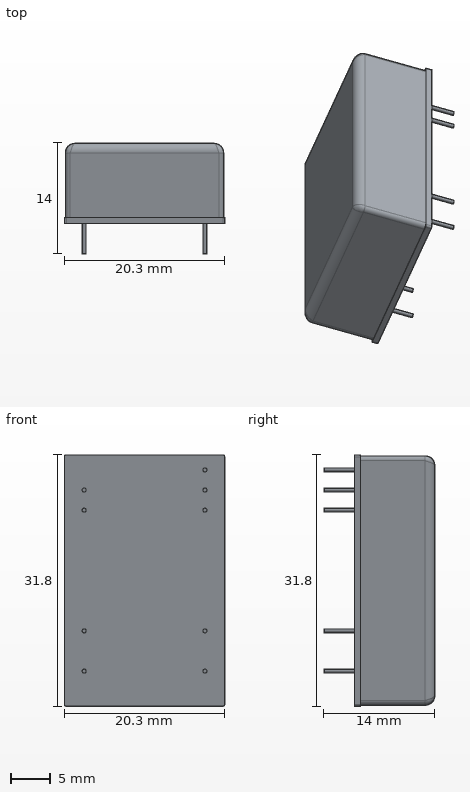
import cadquery as cq

plate_width = 20.3
plate_height = 31.8
plate_thickness = 0.75
plate_corner_radius = 0.25

total_depth = 14.0
pin_length = 3.82
case_inset = 0.13
case_corner_radius = 0.6
case_back_radius = 1.25

pin_diameter = 0.5
pin_pitch = 2.55
pin_column_x = 3 * pin_pitch
shared_pin_rows = [4.5, 3.5, -2.5, -4.5]
extra_pin_row = 5.5

plate_front_y = pin_length - total_depth / 2
plate_back_y = plate_front_y + plate_thickness
case_depth = total_depth - pin_length - plate_thickness


def upright_block(width, height, depth, front_y, corner_radius):
    """Block centred on X and Z, growing from front_y towards +Y, with its four long edges rounded."""
    block = (
        cq.Workplane("XZ", origin=(0, front_y, 0))
        .rect(width, height)
        .extrude(-depth)
    )
    return block.edges("|Y").fillet(corner_radius)


def pin(x, z):
    """Round pin running along -Y from the plate."""
    return (
        cq.Workplane("XZ", origin=(x, plate_front_y, z))
        .circle(pin_diameter / 2)
        .extrude(pin_length)
    )


plate = upright_block(plate_width, plate_height, plate_thickness, plate_front_y, plate_corner_radius)

case = upright_block(
    plate_width - 2 * case_inset,
    plate_height - 2 * case_inset,
    case_depth,
    plate_back_y,
    case_corner_radius,
)
case = case.faces(">Y").edges().fillet(case_back_radius)

result = plate.union(case)

pin_places = [(x, row) for x in (-pin_column_x, pin_column_x) for row in shared_pin_rows]
pin_places.append((pin_column_x, extra_pin_row))
for x, row in pin_places:
    result = result.union(pin(x, row * pin_pitch))